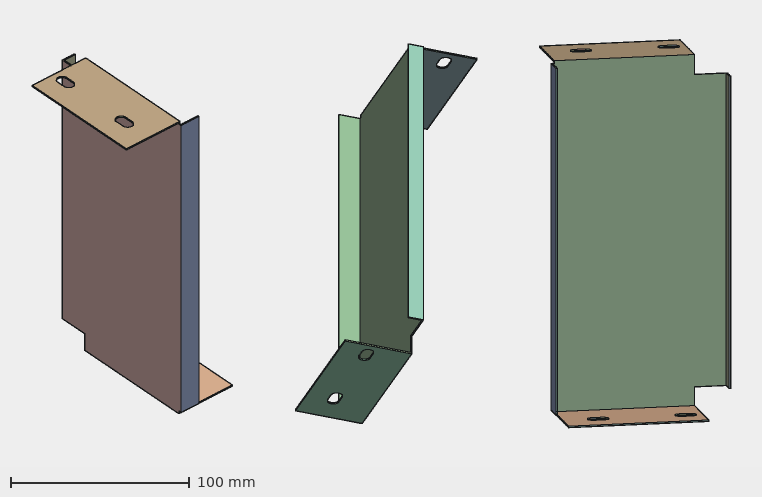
import cadquery as cq

width = 101.0
depth = 78.8
height = 202.0
thickness = 0.9

left_lip_depth = 9.0
right_lip_depth = 13.5
left_notch_width = 19.0
left_notch_height = 11.5
right_relief_width = 1.8
right_relief_height = 1.6

slot_length = 12.1
slot_width = 6.7
slot_pitch = 50.0
first_slot_from_left = 28.9
slot_offset = 23.2

left = -width / 2
right = width / 2
bottom = -height / 2
front = -thickness / 2
back = thickness / 2
flange_left = left + left_notch_width
flange_right = right - right_relief_width
flange_width = flange_right - flange_left
flange_depth = (depth + thickness) / 2
left_lip_height = height - 2 * left_notch_height
right_lip_height = height - 2 * right_relief_height


def block(x_start, y_start, z_start, x_size, y_size, z_size):
    """Box placed by its lowest corner."""
    return cq.Workplane("XY").box(x_size, y_size, z_size, centered=False).translate((x_start, y_start, z_start))


def end_flange(y_start, z_start, slot_y):
    """Horizontal flange with a row of two slots along X."""
    flange = block(flange_left, y_start, z_start, flange_width, flange_depth, thickness)
    first_slot_x = left + first_slot_from_left
    slots = (
        cq.Workplane("XY", origin=(0, 0, z_start))
        .pushPoints([(first_slot_x, slot_y), (first_slot_x + slot_pitch, slot_y)])
        .slot2D(slot_length, slot_width)
        .extrude(thickness)
    )
    return flange.cut(slots)


web = block(flange_left, front, bottom, flange_width, thickness, height)
left_strip = block(left, front, bottom + left_notch_height, left_notch_width, thickness, left_lip_height)
right_strip = block(
    flange_right, front, bottom + right_relief_height, right_relief_width, thickness, right_lip_height
)

left_lip = block(left, front, bottom + left_notch_height, thickness, left_lip_depth, left_lip_height)
right_lip = block(
    right - thickness, front, bottom + right_relief_height, thickness, right_lip_depth, right_lip_height
)

top_flange = end_flange(back - flange_depth, height / 2 - thickness, -slot_offset)
bottom_flange = end_flange(front, bottom, slot_offset)

result = web
for panel in (left_strip, right_strip, left_lip, right_lip, top_flange, bottom_flange):
    result = result.union(panel)
result = result.clean()